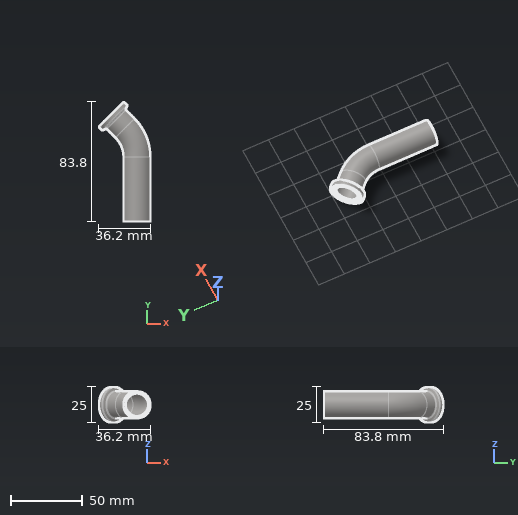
import cadquery as cq
import math

tube_outer_diameter = 19.0
tube_bore_diameter = 15.75
straight_length = 45.25
bend_radius = 28.6
bend_angle = 45.0

ferrule_length = 13.65
flange_diameter = 25.0
rim_length = 3.7
back_cone_angle = 20.0
face_edge_fillet = 0.3
back_fillet = 0.5

groove_outer_diameter = 21.9
groove_wall_end_depth = 0.75
groove_wall_end_diameter = 20.9
groove_floor_end_diameter = 18.9
groove_floor_end_depth = 1.5
groove_floor_bulge = 0.25
land_diameter = 17.4
land_depth = 0.75

tube_radius = tube_outer_diameter / 2
bore_radius = tube_bore_diameter / 2
flange_radius = flange_diameter / 2
flange_length = rim_length + (flange_radius - tube_radius) * math.tan(math.radians(back_cone_angle))


def bend_point(angle):
    """Point on the bend centreline, at an angle in degrees from the bend start."""
    turn = math.radians(angle)
    return (
        -bend_radius * (1 - math.cos(turn)),
        straight_length + bend_radius * math.sin(turn),
    )


axis_x = -math.sin(math.radians(bend_angle))
axis_y = math.cos(math.radians(bend_angle))
bend_end_x, bend_end_y = bend_point(bend_angle)
face_x = bend_end_x + ferrule_length * axis_x
face_y = bend_end_y + ferrule_length * axis_y

ferrule_frame = cq.Plane(
    origin=(face_x, face_y, 0),
    xDir=(0, 0, 1),
    normal=(-axis_x, -axis_y, 0),
)


def swept_rod(radius):
    """Round rod along the whole centreline, from the plain end to the mating face."""
    centreline = (
        cq.Workplane("XY")
        .lineTo(0, straight_length)
        .threePointArc(bend_point(bend_angle / 2), (bend_end_x, bend_end_y))
        .lineTo(face_x, face_y)
    )
    return cq.Workplane("XZ").circle(radius).sweep(centreline)


def turned(profile):
    """Revolve an open radius-depth profile about its own vertical axis."""
    return profile.close().revolve(360, (0, 0), (0, 1))


def solid_ferrule():
    """Clamp flange with rounded edges and a conical back, on a stub of tube."""
    profile = (
        cq.Workplane("XZ")
        .lineTo(flange_radius, 0)
        .lineTo(flange_radius, rim_length)
        .lineTo(tube_radius, flange_length)
        .lineTo(tube_radius, ferrule_length)
        .lineTo(0, ferrule_length)
    )
    body = turned(profile)
    body = body.edges("%CIRCLE and (not >Z) and (not <Z)").fillet(back_fillet)
    return body.faces("<Z").edges().fillet(face_edge_fillet)


def gasket_groove():
    """Groove with a sloped outer wall, arched floor and cone rising to the recessed land."""
    profile = (
        cq.Workplane("XZ")
        .lineTo(groove_outer_diameter / 2, 0)
        .lineTo(groove_wall_end_diameter / 2, groove_wall_end_depth)
        .sagittaArc((groove_floor_end_diameter / 2, groove_floor_end_depth), groove_floor_bulge)
        .lineTo(land_diameter / 2, land_depth)
        .lineTo(0, land_depth)
    )
    return turned(profile)


def on_ferrule(body):
    """Move a body turned about Z into the ferrule frame."""
    return body.val().moved(cq.Location(ferrule_frame))


result = (
    swept_rod(tube_radius)
    .union(on_ferrule(solid_ferrule()))
    .cut(on_ferrule(gasket_groove()))
    .cut(swept_rod(bore_radius))
)